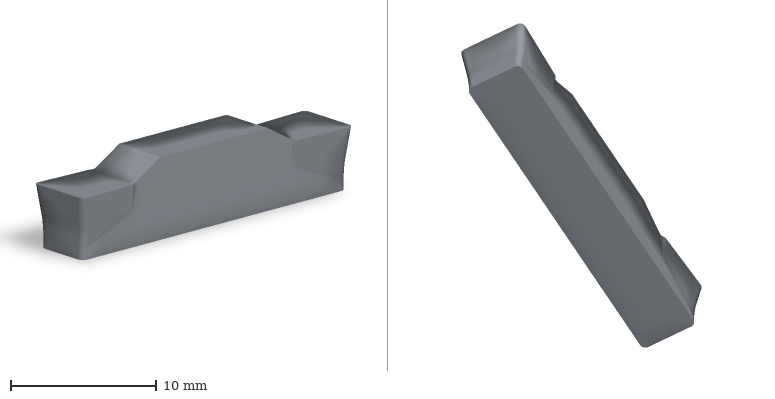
import cadquery as cq
import math


def tan_deg(angle):
    return math.tan(math.radians(angle))


overall_length = 25.23
overall_height = 5.97
cutting_width = 5.0
body_width = 4.2
corner_radius = 0.4

tip_height = 4.63
floor_height = 4.60
land_in = 0.4
hump_end_in = 3.4
hump_rise = 0.013

ramp_angle = 30.0
ramp_top_in = 7.62
ramp_blend_radius = 1.0

front_relief = 7.6
relief_bend_height = 2.0
relief_blend_radius = 4.3
head_base_height = 0.9

side_relief = 2.5
side_draft = 5.8
shoulder_in = 4.95
shoulder_angle = 30.0
shoulder_step = 0.5

half_length = overall_length / 2
front_in = (tip_height - relief_bend_height) * tan_deg(front_relief)
ramp_foot_in = ramp_top_in - (overall_height - floor_height) / tan_deg(ramp_angle)

ramp_tangent = ramp_blend_radius * tan_deg(ramp_angle / 2)
relief_tangent = relief_blend_radius * tan_deg(front_relief / 2)
ramp_blend_start = (ramp_foot_in - ramp_tangent, floor_height)
ramp_blend_end = (
    ramp_foot_in + ramp_tangent * math.cos(math.radians(ramp_angle)),
    floor_height + ramp_tangent * math.sin(math.radians(ramp_angle)),
)
relief_blend_start = (
    front_in - relief_tangent * math.sin(math.radians(front_relief)),
    relief_bend_height + relief_tangent * math.cos(math.radians(front_relief)),
)
relief_blend_end = (front_in, relief_bend_height - relief_tangent)


def side_sketch(start_in, start_height):
    """Start an outline in the YZ plane, with Y counted inward from the -Y tip."""
    return cq.Workplane("YZ", origin=(0, -half_length, 0)).moveTo(start_in, start_height)


def mirrored_pair(end):
    return end.union(end.mirror("XZ"))


def make_base():
    """Full-length foot below the heads, with rounded upright corners."""
    return (
        cq.Workplane("XY")
        .rect(body_width, overall_length - 2 * front_in)
        .extrude(head_base_height)
        .edges("|Z")
        .fillet(corner_radius)
    )


def make_half_body():
    """-Y half of the body; its sloping end lies inside the head."""
    return (
        side_sketch(front_in + corner_radius, head_base_height)
        .lineTo(hump_end_in, floor_height)
        .lineTo(*ramp_blend_start)
        .radiusArc(ramp_blend_end, -ramp_blend_radius)
        .lineTo(ramp_top_in, overall_height)
        .lineTo(half_length, overall_height)
        .lineTo(half_length, head_base_height)
        .close()
        .extrude(body_width / 2, both=True)
    )


def make_head_profile():
    """Head bounded by its front and top faces, wider than its flanks."""
    return (
        side_sketch(front_in, head_base_height)
        .lineTo(*relief_blend_end)
        .radiusArc(relief_blend_start, -relief_blend_radius)
        .lineTo(0, tip_height)
        .lineTo(land_in, floor_height)
        .threePointArc(
            ((land_in + hump_end_in) / 2, floor_height + hump_rise),
            (hump_end_in, floor_height),
        )
        .lineTo(*ramp_blend_start)
        .radiusArc(ramp_blend_end, -ramp_blend_radius)
        .lineTo(ramp_top_in, ramp_blend_end[1])
        .lineTo(ramp_top_in, head_base_height)
        .close()
        .extrude(cutting_width, both=True)
    )


def flank_half_width(distance_in, height):
    """Half width of the head; the full cutting width falls where the corner rounding ends."""
    narrowing = (distance_in - corner_radius) * tan_deg(side_relief)
    draft = (floor_height - height) * tan_deg(side_draft)
    return cutting_width / 2 - narrowing - draft


def flank_section(height):
    """Plan section of the flanks and shoulders at one height."""
    front_half = flank_half_width(0, height)
    shoulder_half = flank_half_width(shoulder_in, height)
    neck_half = shoulder_half - shoulder_step
    neck_in = shoulder_in + shoulder_step / tan_deg(shoulder_angle)
    half_outline = [(front_half, 0), (shoulder_half, shoulder_in), (neck_half, neck_in)]
    other_half = [(-x, y) for x, y in reversed(half_outline)]
    points = [cq.Vector(x, y - half_length, height) for x, y in half_outline + other_half]
    return cq.Wire.makePolygon(points, close=True)


def make_head():
    flanks = cq.Solid.makeLoft(
        [flank_section(head_base_height), flank_section(overall_height)], True
    )
    head = make_head_profile().intersect(cq.Workplane(flanks))
    front_zone = cq.selectors.BoxSelector(
        (-cutting_width, -half_length - corner_radius, head_base_height),
        (cutting_width, -half_length + front_in + corner_radius / 2, floor_height),
    )
    crosswise = cq.selectors.ParallelDirSelector(cq.Vector(1, 0, 0))
    upright_edges = front_zone - crosswise
    return head.edges(upright_edges).fillet(corner_radius)


body = make_base().union(mirrored_pair(make_half_body()))
result = body.union(mirrored_pair(make_head()))